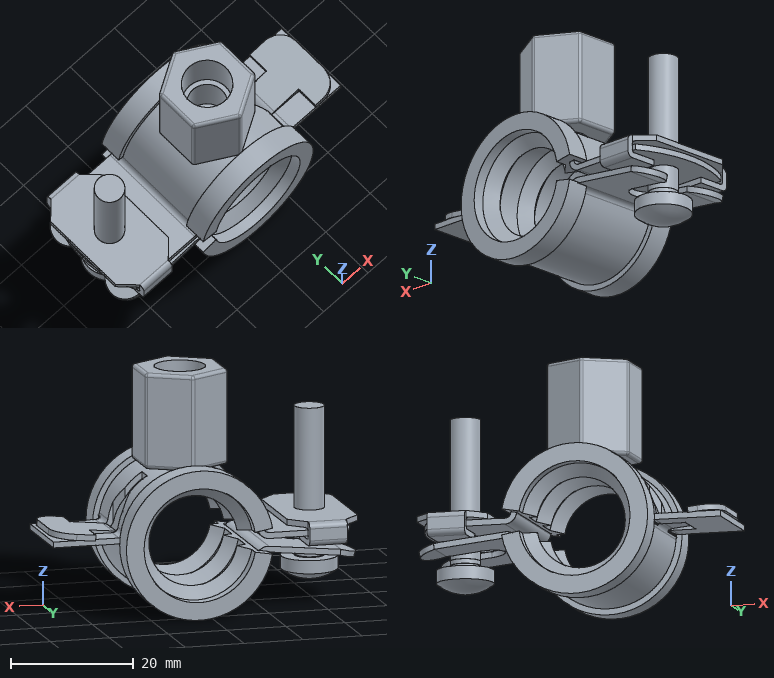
import cadquery as cq
import math

strap_inner_radius = 10.5
strap_thickness = 1.0
strap_outer_radius = strap_inner_radius + strap_thickness
strap_width = 20.0
bend_inner_radius = 1.0
tilt = 6.0

lining_outer_radius = 12.5
lining_width = 24.0
flange_width = 4.0
lining_bore_radius = 9.5
rib_height = 2.0
rib_spacing = 8.0
gap_half_angle = 10.0

screw_x = -21.97
screw_diameter = 5.0
screw_top = 19.55
screw_length = 25.0
runout_diameter = 4.92
neck_diameter = 4.67
runout_top = -3.9
neck_top = -4.65
neck_height = 0.7
head_diameter = 9.5
head_height = 2.2
dome_height = 1.7

lug_end = -28.05
lug_end_radius = 20.0
slot_width = 6.0
slot_end_center = -18.5
lobe_radius = (strap_width - slot_width) / 4
lobe_center = -24.6
lobe_bend = 10.0

tail_width = 14.0
upper_tail_end = 23.43
lower_tail_end = 23.3
tail_corner_radius = 3.75
neck_width = 6.0
back_shoulder_x = 16.3
front_shoulder_x = 17.85
shoulder_drop = 1.25

keyhole_start = 6.0
keyhole_taper_start = 8.9
keyhole_narrow_width = 3.0

clip_length = 12.0
clip_top = 2.5
clip_bottom = -1.5
clip_width = 23.0
clip_sheet = 1.0
clip_lip_inner = 5.5
clip_lip_length = 6.4
clip_outer_bend = 1.0
clip_inner_bend = 0.5

cut_margin = 2.0

nut_height = 16.0
nut_flats = 14.0
nut_edge_radius = 0.6
nut_upper_bore = 8.38
nut_lower_bore = 6.65


def slab(x0, x1, y0, y1, z0, z1):
    """Box between opposite corners."""
    return cq.Workplane("XY").box(x1 - x0, y1 - y0, z1 - z0, centered=False).translate((x0, y0, z0))


def cylinder(x, y, z0, z1, diameter):
    """Upright cylinder."""
    return cq.Workplane("XY").center(x, y).circle(diameter / 2).extrude(z1 - z0).translate((0, 0, z0))


def tube(outer_radius, inner_radius, width):
    """Tube along Y, centred on the origin."""
    ring = cq.Workplane("XZ").circle(outer_radius).circle(inner_radius)
    return ring.extrude(width / 2, both=True)


def round_corner(body, x, z, radius):
    """Round the edges along Y that pass through (x, z)."""
    reach = 0.02
    half = lining_width
    box = cq.selectors.BoxSelector((x - reach, -half, z - reach), (x + reach, half, z + reach))
    return body.edges("|Y").edges(box).fillet(radius)


def strap_half(lug_tip, tail_tip):
    """Half ring above z = 0 with a lug at -X and a tail at +X, all as wide as the strap."""
    half_width = strap_width / 2
    size = lining_outer_radius
    body = tube(strap_outer_radius, strap_inner_radius, strap_width)
    body = body.cut(slab(-size, size, -size, size, -size, 0))
    sheet_joint = (strap_inner_radius + strap_outer_radius) / 2
    body = body.union(slab(lug_tip, -sheet_joint, -half_width, half_width, 0, strap_thickness))
    body = body.union(slab(sheet_joint, tail_tip, -half_width, half_width, 0, strap_thickness))
    body = body.clean()
    outer_corner_x = math.sqrt(strap_outer_radius**2 - strap_thickness**2)
    for side in (-1, 1):
        body = round_corner(body, side * outer_corner_x, strap_thickness, bend_inner_radius)
        body = round_corner(body, side * strap_inner_radius, 0, bend_inner_radius + strap_thickness)
    return body


def tail_trim(start, tip, half_width):
    """Waste on both sides of a tail, from start to beyond the tip."""
    waste = cq.Workplane("XY")
    for y0, y1 in ((-strap_width, -half_width), (half_width, strap_width)):
        waste = waste.union(slab(start, tip + cut_margin, y0, y1, -cut_margin, cut_margin))
    return waste


def make_lower_strap():
    body = strap_half(lobe_center, lower_tail_end).mirror("XY")
    body = body.cut(tail_trim(strap_outer_radius, lower_tail_end, tail_width / 2))
    for y0, y1, shoulder_x in (
        (neck_width / 2, strap_width, back_shoulder_x),
        (-strap_width, -neck_width / 2, front_shoulder_x),
    ):
        body = body.cut(slab(strap_inner_radius / 2, shoulder_x, y0, y1, -shoulder_drop, cut_margin))
        body = body.cut(slab(strap_outer_radius, shoulder_x, y0, y1, -cut_margin, cut_margin))
    body = body.edges("|Z and >X").fillet(tail_corner_radius)

    slot = slab(lobe_center, slot_end_center, -slot_width / 2, slot_width / 2, -cut_margin, cut_margin)
    slot = slot.union(cylinder(slot_end_center, 0, -cut_margin, cut_margin, slot_width))
    body = body.cut(slot)
    for side in (-1, 1):
        y = side * (slot_width / 2 + lobe_radius)
        lobe = cylinder(lobe_center, y, -strap_thickness, 0, 2 * lobe_radius)
        lobe = lobe.cut(slab(lobe_center, 0, -strap_width, strap_width, -cut_margin, cut_margin))
        lobe = lobe.rotate((lobe_center, 0, 0), (lobe_center, 1, 0), -lobe_bend)
        body = body.union(lobe)
    return body.rotate((0, 0, 0), (0, 1, 0), -tilt)


def make_upper_strap(lower):
    body = strap_half(lug_end, upper_tail_end)
    body = body.cut(tail_trim(strap_outer_radius, upper_tail_end, tail_width / 2))
    narrow = keyhole_narrow_width / 2
    wide = neck_width / 2
    right = [
        (keyhole_start, narrow),
        (keyhole_taper_start, narrow),
        (strap_inner_radius, wide),
        (back_shoulder_x, wide),
    ]
    outline = right + [(x, -y) for x, y in reversed(right)]
    body = body.cut(cq.Workplane("XY").polyline(outline).close().extrude(lining_outer_radius))
    lug_disc = cylinder(lug_end + lug_end_radius, 0, -cut_margin, lining_outer_radius, 2 * lug_end_radius)
    lug_zone = slab(lug_end, 0, -strap_width, strap_width, -cut_margin, lining_outer_radius)
    body = body.cut(lug_zone.cut(lug_disc))
    body = body.cut(cylinder(screw_x, 0, -cut_margin, cut_margin, screw_diameter))
    return body.cut(lower)


def make_lining(upper, lower):
    half_width = lining_width / 2
    groove_half = half_width - flange_width
    channel_half = strap_width / 2
    bore = [(lining_bore_radius, -half_width)]
    for crest_y in (-rib_spacing, 0, rib_spacing):
        bore += [
            (lining_bore_radius, crest_y - rib_height),
            (lining_bore_radius - rib_height, crest_y),
            (lining_bore_radius, crest_y + rib_height),
        ]
    bore.append((lining_bore_radius, half_width))
    outside = [
        (lining_outer_radius, half_width),
        (lining_outer_radius, groove_half),
        (strap_outer_radius, groove_half),
        (strap_outer_radius, channel_half),
        (strap_inner_radius, channel_half),
    ]
    profile = bore + outside + [(r, -y) for r, y in reversed(outside)]
    ring = cq.Workplane("XY").polyline(profile).close().revolve(360, (0, 0, 0), (0, 1, 0))
    reach = 2 * lining_outer_radius
    rise = reach * math.tan(math.radians(gap_half_angle))
    gap = cq.Workplane("XZ").polyline([(0, 0), (-reach, rise), (-reach, -rise)]).close()
    return ring.cut(gap.extrude(lining_width, both=True)).cut(upper).cut(lower)


def make_screw():
    head_top = screw_top - screw_length
    head_bottom = head_top - head_height
    neck_bottom = neck_top - neck_height
    head_radius = head_diameter / 2
    dome_radius = (head_radius**2 + dome_height**2) / (2 * dome_height)
    dome_mid = head_radius / 2
    dome_mid_z = head_bottom - dome_height + dome_radius - math.sqrt(dome_radius**2 - dome_mid**2)
    profile = (
        cq.Workplane("XZ")
        .moveTo(0, screw_top)
        .lineTo(screw_diameter / 2, screw_top)
        .lineTo(screw_diameter / 2, runout_top)
        .lineTo(runout_diameter / 2, runout_top)
        .lineTo(runout_diameter / 2, neck_top)
        .lineTo(neck_diameter / 2, neck_top)
        .lineTo(neck_diameter / 2, neck_bottom)
        .lineTo(runout_diameter / 2, neck_bottom)
        .lineTo(runout_diameter / 2, head_top)
        .lineTo(head_radius, head_top)
        .lineTo(head_radius, head_bottom)
        .threePointArc((dome_mid, dome_mid_z), (0, head_bottom - dome_height))
        .close()
    )
    return profile.revolve(360, (0, 0, 0), (0, 1, 0)).translate((screw_x, 0, 0))


def make_clip():
    half_width = clip_width / 2
    half_length = clip_length / 2
    half_lip = clip_lip_length / 2
    chamfer = half_length - half_lip
    plate_half = half_width - clip_outer_bend
    height = clip_top - clip_bottom
    mid_z = (clip_top + clip_bottom) / 2
    body = cq.Workplane("XY").box(clip_length, clip_width, height).edges("|X").fillet(clip_outer_bend)
    inside = cq.Workplane("XY").box(clip_length, clip_width - 2 * clip_sheet, height - 2 * clip_sheet)
    body = body.cut(inside.edges("|X").fillet(clip_inner_bend))
    lip_gap = cq.Workplane("XY").box(clip_length, 2 * clip_lip_inner, height)
    body = body.cut(lip_gap.translate((0, 0, -clip_sheet)))
    plate = cq.Workplane("XY").box(clip_length, 2 * plate_half, height).edges("|Z").chamfer(chamfer)
    plate = plate.translate((0, 0, height / 2))
    lips = cq.Workplane("XY").box(clip_lip_length, clip_width, height)
    body = body.intersect(lips.union(plate))
    body = body.translate((screw_x, 0, mid_z))
    return body.cut(cylinder(screw_x, 0, clip_bottom, clip_top, screw_diameter))


def make_nut():
    base = strap_outer_radius
    top = base + nut_height
    corner_diameter = nut_flats / math.cos(math.pi / 6)
    body = cq.Workplane("XY").polygon(6, corner_diameter).extrude(nut_height)
    body = body.rotate((0, 0, 0), (0, 0, 1), 30).translate((0, 0, base))
    body = body.edges().fillet(nut_edge_radius)
    body = body.cut(cylinder(0, 0, base, top, nut_lower_bore))
    return body.cut(cylinder(0, 0, base + nut_height / 2, top, nut_upper_bore))


lower_strap = make_lower_strap()
upper_strap = make_upper_strap(lower_strap)
lining = make_lining(upper_strap, lower_strap)
screw = make_screw()
clip = make_clip()
nut = make_nut()

bodies = [upper_strap, lower_strap, lining, screw, clip, nut]
result = cq.Compound.makeCompound([body.val() for body in bodies])